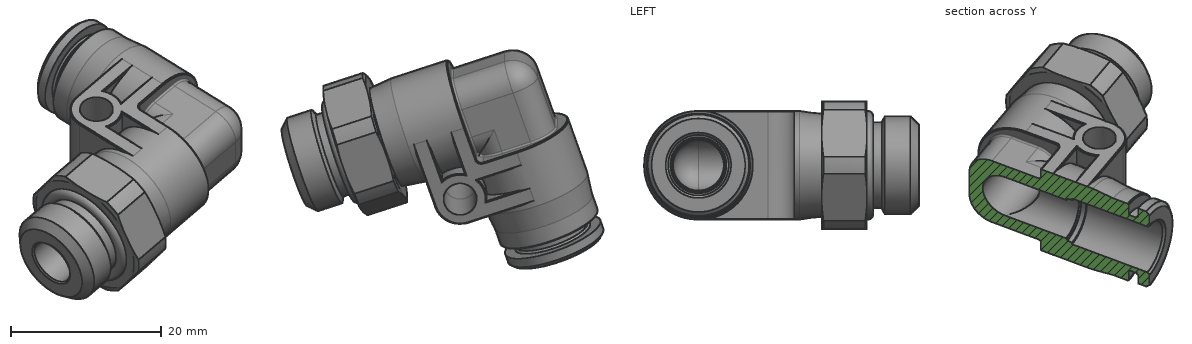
import cadquery as cq
import math


elbow_half_width = 5.5
elbow_round = 3.48
elbow_overlap = 0.75
bore_radius = 3.35

collar_radius = 7.25
collar_start = 5.4
collar_edge = 0.15
collar_root_round = 0.25
taper_start = 13.4
taper_end = 16.47
taper_end_radius = 6.88

body_end = 18.9
body_edge = 0.15
sleeve_neck_radius = 4.98
sleeve_root = 0.3
flange_radius = 6.75
flange_start = 20.3
flange_chamfer = 0.5
sleeve_end = 22.07

socket_radius = 4.03
socket_lead_in = 0.33
socket_floor = 10.25
stop_radius = 3.75
stop_depth = 0.75
stop_chamfer = 0.2

bracket_reach = 12.75
bracket_corner_radius = 3.5
bracket_hole_radius = 2.2
rib_thickness = 2.1
bracket_edge = 0.15
bracket_inner_round = 0.75
bracket_height = 2 * collar_radius
boss_offset = bracket_reach - bracket_corner_radius

hex_across_flats = 17.0
hex_corner_radius = 9.22
hex_face_radius = 8.55
hex_chamfer_length = 0.22
hex_start = 16.45
hex_end = 22.4

undercut_radius = 5.75
undercut_end = 24.38
thread_radius = 6.55
thread_start = 24.8
thread_end = 28.2
stud_end = 29.35
stud_end_radius = 5.4
stud_bore_radius = 3.1
stud_bore_chamfer = 0.22

ring_outer_radius = collar_radius
ring_tube_radius = (ring_outer_radius - undercut_radius) / 2
ring_centre_radius = undercut_radius + ring_tube_radius
ring_position = 22.5


def turned_along_x(outline):
    """Revolve (distance along -X, radius) points about the X axis."""
    points = [(-distance, radius) for distance, radius in outline]
    return cq.Workplane("XZ").polyline(points).close().revolve(360, (0, 0, 0), (1, 0, 0))


def turned_along_y(outline):
    """Revolve (distance along -Y, radius) points about the Y axis."""
    points = [(-radius, -distance) for distance, radius in outline]
    return cq.Workplane("XY").polyline(points).close().revolve(360, (0, 0, 0), (0, 1, 0))


def elbow_arms():
    """L-shaped bar with all lengthwise edges rounded except the sharp inner corner."""
    arm_end = -(collar_start + elbow_overlap)
    bar = (
        cq.Workplane("XY", origin=(0, 0, -elbow_half_width))
        .moveTo(elbow_half_width, elbow_half_width)
        .lineTo(arm_end, elbow_half_width)
        .lineTo(arm_end, -elbow_half_width)
        .lineTo(-elbow_half_width, -elbow_half_width)
        .lineTo(-elbow_half_width, arm_end)
        .lineTo(elbow_half_width, arm_end)
        .close()
        .extrude(2 * elbow_half_width)
    )
    bar = bar.edges("|Z and >(1, 1, 0)").fillet(elbow_round)
    return bar.faces("<Z or >Z").edges("not(<X or <Y)").fillet(elbow_round)


def collar_outline():
    return [
        (collar_start, 0),
        (collar_start, collar_radius - collar_edge),
        (collar_start + collar_edge, collar_radius),
        (taper_start, collar_radius),
        (taper_end, taper_end_radius),
        (taper_end, 0),
    ]


def bracket():
    """Four ribs around a boss; the ribs run tangentially onto the collars and end on their axes."""
    body = cq.Workplane("XY").center(-boss_offset, -boss_offset).circle(bracket_corner_radius)
    body = body.extrude(bracket_height / 2, both=True)
    inner_reach = collar_start + rib_thickness
    for reach, length in ((bracket_reach, boss_offset), (inner_reach, inner_reach)):
        centre = -reach + rib_thickness / 2
        rib_along_y = cq.Workplane("XY").box(rib_thickness, length, bracket_height)
        body = body.union(rib_along_y.translate((centre, -length / 2, 0)))
        rib_along_x = cq.Workplane("XY").box(length, rib_thickness, bracket_height)
        body = body.union(rib_along_x.translate((-length / 2, centre, 0)))

    inner_corner = (-collar_start, -collar_start, 0)
    body = body.edges(cq.selectors.NearestToPointSelector(inner_corner)).fillet(bracket_inner_round)
    return body.faces("<Z or >Z").edges("not(>X or >Y)").chamfer(bracket_edge)


def round_collar_roots(body):
    """Fillet where the rounded elbow arms run into the flat collar faces."""
    half = elbow_half_width + 0.05
    low = -collar_start - 0.05
    high = -collar_start + 0.05
    tube_root = cq.selectors.BoxSelector((low, -half, -half), (high, half, half), boundingbox=True)
    stud_root = cq.selectors.BoxSelector((-half, low, -half), (half, high, half), boundingbox=True)
    return body.edges(tube_root + stud_root).fillet(collar_root_round)


def tube_port():
    return turned_along_x(
        [
            (taper_end, 0),
            (taper_end, taper_end_radius),
            (body_end - body_edge, taper_end_radius),
            (body_end, taper_end_radius - body_edge),
            (body_end, sleeve_neck_radius),
            (flange_start - sleeve_root, sleeve_neck_radius),
            (flange_start, sleeve_neck_radius + sleeve_root),
            (flange_start, flange_radius),
            (sleeve_end - flange_chamfer, flange_radius),
            (sleeve_end, flange_radius - flange_chamfer),
            (sleeve_end, 0),
        ]
    )


def hexagon():
    """Hexagon with flats facing +Z and -Z, its corners turned and chamfered at both ends."""
    across_corners = hex_across_flats / math.cos(math.pi / 6)
    prism = cq.Workplane("XZ", origin=(0, -hex_start, 0)).polygon(6, across_corners)
    prism = prism.extrude(hex_end - hex_start)
    envelope = turned_along_y(
        [
            (hex_start, 0),
            (hex_start, hex_face_radius),
            (hex_start + hex_chamfer_length, hex_corner_radius),
            (hex_end - hex_chamfer_length, hex_corner_radius),
            (hex_end, hex_face_radius),
            (hex_end, 0),
        ]
    )
    return prism.intersect(envelope)


def stud():
    return turned_along_y(
        [
            (hex_end, 0),
            (hex_end, undercut_radius),
            (undercut_end, undercut_radius),
            (thread_start, thread_radius),
            (thread_end, thread_radius),
            (stud_end, stud_end_radius),
            (stud_end, 0),
        ]
    )


def flow_passage():
    """Tube socket and stud bore, joined by a ball at the corner."""
    stop_end = socket_floor - stop_depth
    socket = turned_along_x(
        [
            (0, 0),
            (0, bore_radius),
            (stop_end - stop_chamfer, bore_radius),
            (stop_end, bore_radius + stop_chamfer),
            (stop_end, stop_radius),
            (socket_floor, stop_radius),
            (socket_floor, socket_radius),
            (sleeve_end - socket_lead_in, socket_radius),
            (sleeve_end, socket_radius + socket_lead_in),
            (sleeve_end, 0),
        ]
    )
    stud_bore = turned_along_y(
        [
            (0, 0),
            (0, bore_radius),
            (hex_start, bore_radius),
            (hex_start, stud_bore_radius),
            (stud_end - stud_bore_chamfer, stud_bore_radius),
            (stud_end, stud_bore_radius + stud_bore_chamfer),
            (stud_end, 0),
        ]
    )
    corner_ball = cq.Workplane("XY").sphere(bore_radius)
    return socket.union(stud_bore).union(corner_ball)


def bracket_hole():
    hole = cq.Workplane("XY").center(-boss_offset, -boss_offset).circle(bracket_hole_radius)
    return hole.extrude(bracket_height, both=True)


def make_sealing_ring():
    section = cq.Workplane("XY").center(-ring_centre_radius, -ring_position).circle(ring_tube_radius)
    return section.revolve(360, (ring_centre_radius, 0, 0), (ring_centre_radius, 1, 0))


def make_fitting(ring):
    body = elbow_arms()
    body = body.union(turned_along_x(collar_outline()))
    body = body.union(turned_along_y(collar_outline()))
    body = body.union(bracket())
    body = round_collar_roots(body)
    body = body.union(tube_port()).union(hexagon()).union(stud())
    body = body.cut(bracket_hole()).cut(flow_passage())
    return body.cut(ring)


sealing_ring = make_sealing_ring()
fitting = make_fitting(sealing_ring)

result = cq.Compound.makeCompound([fitting.val(), sealing_ring.val()])